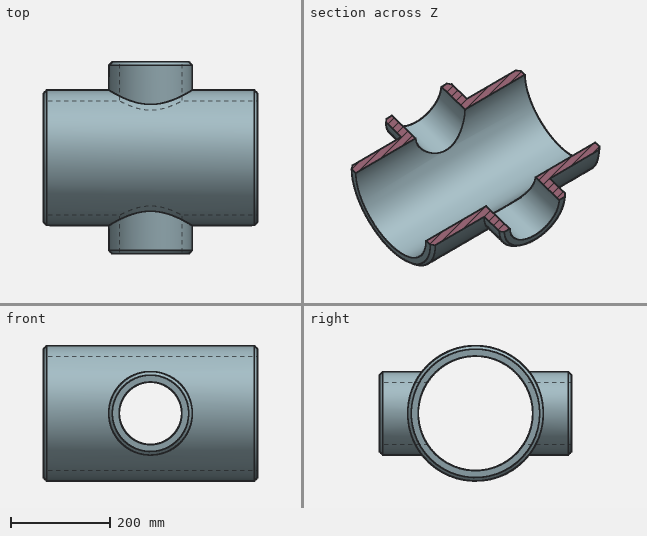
import cadquery as cq

wall = 21.44

run_length = 431.8
run_diameter = 273.05
run_bore = run_diameter - 2 * wall

branch_span = 387.1
branch_diameter = 168.275
branch_bore = branch_diameter - 2 * wall

bevel = 7.2


def centred_cylinder(plane, diameter, length):
    """Cylinder along the plane's normal, centred on the origin."""
    return cq.Workplane(plane).circle(diameter / 2).extrude(length / 2, both=True)


def bevelled_bar(plane, axis, diameter, length):
    """Solid bar along the named axis with both end edges bevelled."""
    bar = centred_cylinder(plane, diameter, length)
    return bar.faces(f"<{axis} or >{axis}").edges().chamfer(bevel)


run = bevelled_bar("YZ", "X", run_diameter, run_length)
branches = bevelled_bar("XZ", "Y", branch_diameter, branch_span)
body = run.union(branches)

body = body.cut(centred_cylinder("YZ", run_bore, run_length))
result = body.cut(centred_cylinder("XZ", branch_bore, branch_span))